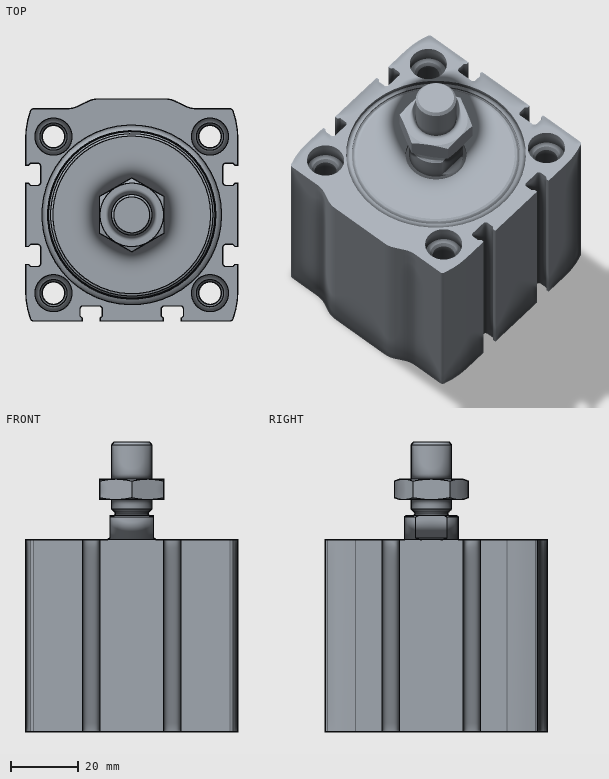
import cadquery as cq
import math

BODY_WIDTH = 63.0
HALF = BODY_WIDTH / 2
PAD_RISE = 2.9
PAD_TOP_HALF = 11.4
PAD_FOOT_HALF = 17.5
PAD_BLEND = 7.3
BODY_HEIGHT = 57.0
SIDE_FLAT_HALF = 22.45
SIDE_ARC_RADIUS = 25.0
CORNER_RADIUS = 1.0

SLOT_OFFSET = 12.0
SLOT_MOUTH = 5.25
SLOT_WIDTH = 6.5
SLOT_DEPTH = 4.5
LIP_DEPTH = 0.9
LIP_SLOPE = (SLOT_WIDTH - SLOT_MOUTH) / 2
SLOT_CORNER_RADIUS = 0.9

HOLE_OFFSET = 23.2
HOLE_DIAMETER = 6.6
HOLE_BEVEL_DIAMETER = 8.1
COUNTERBORE_DIAMETER = 11.0
COUNTERBORE_DEPTH = 5.0
HOLE_BEVEL_DEPTH = (HOLE_BEVEL_DIAMETER - HOLE_DIAMETER) / 2

COVER_DEPTH = 0.2
COVER_FACE_RADIUS = 23.4
COVER_BREAK_RADIUS = 24.1
COVER_BREAK_DEPTH = 0.4
COVER_EDGE_RADIUS = 24.7
GROOVE_FLOOR_DEPTH = 1.0
RING_INNER_DIAMETER = 50.0
RING_INNER_RADIUS = RING_INNER_DIAMETER / 2
RING_INNER_DEPTH = 0.4
RING_OUTER_RADIUS = 26.7
RING_OUTER_DEPTH = 1.4

RECESS_DIAMETER = 18.1
RECESS_DEPTH = 1.0
SOCKET_DEPTH = 10.0

TOTAL_HEIGHT = 86.0
ROD_DIAMETER = 16.0
ROD_TOP = 64.15
ROD_CHAMFER = 0.4
THREAD_DIAMETER = 12.0
THREAD_TIP_DIAMETER = 10.7
THREAD_TIP_HEIGHT = 0.9
THREAD_BOTTOM = 66.1
NECK_DIAMETER = 9.8
NECK_FILLET = 0.5
NECK_CONE_HEIGHT = (THREAD_DIAMETER - NECK_DIAMETER) / 2
FLAT_WIDTH = 13.0
FLAT_CLEARANCE = 0.5
FLAT_BOTTOM = BODY_HEIGHT + FLAT_CLEARANCE
RUN_OUT_DEGREES = 35

NUT_ACROSS_FLATS = 19.0
NUT_BOTTOM = 68.9
NUT_HEIGHT = 6.1
NUT_FACE_DIAMETER = 18.8
NUT_BEVEL_HEIGHT = 0.6


def revolved(profile):
    """Full turn about the Z axis of a profile given as (radius, height) points."""
    return cq.Workplane("XZ").polyline(profile).close().revolve(360, (0, 0, 0), (0, 1, 0))


def cylinder(diameter, bottom, height):
    return cq.Workplane("XY").workplane(offset=bottom).circle(diameter / 2).extrude(height)


class UprightEdgesAt(cq.Selector):
    """Selects the vertical edges that stand on the given XY points."""

    TOLERANCE = 0.01

    def __init__(self, points):
        self.points = points

    def stands_on_a_point(self, edge):
        ends = (edge.startPoint(), edge.endPoint())
        return any(
            all(math.dist((end.x, end.y), point) < self.TOLERANCE for end in ends)
            for point in self.points
        )

    def filter(self, edges):
        return [edge for edge in edges if self.stands_on_a_point(edge)]


def housing_block():
    """Solid block: pad on +Y, sides curving in towards rounded corners."""
    arc_end_angle = math.asin((HALF - SIDE_FLAT_HALF) / SIDE_ARC_RADIUS)

    def arc_point(angle):
        """Point on the curved side near the +X +Y corner."""
        inset = SIDE_ARC_RADIUS * (1 - math.cos(angle))
        return HALF - inset, SIDE_FLAT_HALF + SIDE_ARC_RADIUS * math.sin(angle)

    mid_x, mid_y = arc_point(arc_end_angle / 2)
    end_x, end_y = arc_point(arc_end_angle)
    block = (
        cq.Workplane("XY")
        .moveTo(HALF, -SIDE_FLAT_HALF)
        .lineTo(HALF, SIDE_FLAT_HALF)
        .threePointArc((mid_x, mid_y), (end_x, end_y))
        .lineTo(PAD_FOOT_HALF, HALF)
        .lineTo(PAD_TOP_HALF, HALF + PAD_RISE)
        .lineTo(-PAD_TOP_HALF, HALF + PAD_RISE)
        .lineTo(-PAD_FOOT_HALF, HALF)
        .lineTo(-end_x, end_y)
        .threePointArc((-mid_x, mid_y), (-HALF, SIDE_FLAT_HALF))
        .lineTo(-HALF, -SIDE_FLAT_HALF)
        .threePointArc((-mid_x, -mid_y), (-end_x, -end_y))
        .lineTo(end_x, -end_y)
        .threePointArc((mid_x, -mid_y), (HALF, -SIDE_FLAT_HALF))
        .close()
        .extrude(BODY_HEIGHT)
    )
    corners = [(sx * end_x, sy * end_y) for sx in (-1, 1) for sy in (-1, 1)]
    pad_points = [
        (side * x, y)
        for side in (-1, 1)
        for x, y in ((PAD_TOP_HALF, HALF + PAD_RISE), (PAD_FOOT_HALF, HALF))
    ]
    block = block.edges(UprightEdgesAt(corners)).fillet(CORNER_RADIUS)
    return block.edges(UprightEdgesAt(pad_points)).fillet(PAD_BLEND)


def sensor_slot():
    """Cutter for one slot that opens at the -Y side, at X = 0."""
    mouth = SLOT_MOUTH / 2
    wide = SLOT_WIDTH / 2
    face = -HALF
    floor = face + SLOT_DEPTH
    lip = face + LIP_DEPTH
    return (
        cq.Workplane("XY")
        .polyline([
            (-mouth, face),
            (-mouth, lip),
            (-wide, lip + LIP_SLOPE),
            (-wide, floor),
            (wide, floor),
            (wide, lip + LIP_SLOPE),
            (mouth, lip),
            (mouth, face),
        ])
        .close()
        .extrude(BODY_HEIGHT)
        .edges("|Z and >Y")
        .fillet(SLOT_CORNER_RADIUS)
    )


def screw_hole():
    """Cutter for one counterbored and bevelled through hole on the Z axis."""
    bore = HOLE_DIAMETER / 2
    bevel = HOLE_BEVEL_DIAMETER / 2
    counterbore = COUNTERBORE_DIAMETER / 2
    seat = BODY_HEIGHT - COUNTERBORE_DEPTH
    return revolved([
        (0, 0),
        (bore, 0),
        (bore, seat - HOLE_BEVEL_DEPTH),
        (bevel, seat),
        (counterbore, seat),
        (counterbore, BODY_HEIGHT),
        (0, BODY_HEIGHT),
    ])


def cover_relief():
    """Cutter that lowers the cover and leaves the groove with its sloping ring around it."""
    top = BODY_HEIGHT
    return revolved([
        (0, top),
        (0, top - COVER_DEPTH),
        (COVER_FACE_RADIUS, top - COVER_DEPTH),
        (COVER_BREAK_RADIUS, top - COVER_BREAK_DEPTH),
        (COVER_EDGE_RADIUS, top - GROOVE_FLOOR_DEPTH),
        (RING_INNER_RADIUS, top - GROOVE_FLOOR_DEPTH),
        (RING_INNER_RADIUS, top - RING_INNER_DEPTH),
        (RING_OUTER_RADIUS, top - RING_OUTER_DEPTH),
        (RING_OUTER_RADIUS, top),
    ])


def rod_recess():
    """Cutter for the groove around the rod: upright outer wall and floor rising to the rod."""
    face = BODY_HEIGHT - COVER_DEPTH
    return revolved([
        (ROD_DIAMETER / 2, face),
        (RECESS_DIAMETER / 2, face - RECESS_DEPTH),
        (RECESS_DIAMETER / 2, face),
    ])


def make_housing():
    body = housing_block()
    slot = sensor_slot()
    for quarter_turn in (-90, 0, 90):
        for side in (-1, 1):
            placed = slot.translate((side * SLOT_OFFSET, 0, 0))
            body = body.cut(placed.rotate((0, 0, 0), (0, 0, 1), quarter_turn))
    hole = screw_hole()
    for side_x in (-1, 1):
        for side_y in (-1, 1):
            body = body.cut(hole.translate((side_x * HOLE_OFFSET, side_y * HOLE_OFFSET, 0)))
    body = body.cut(cover_relief()).cut(rod_recess())
    return body.cut(cylinder(ROD_DIAMETER, BODY_HEIGHT - SOCKET_DEPTH, SOCKET_DEPTH))


def wrench_flat():
    """Cutter for the flat on the +X side, with a sloping run-out at its lower end."""
    flat = FLAT_WIDTH / 2
    outside = ROD_DIAMETER / 2
    run_out_drop = (outside - flat) * math.tan(math.radians(RUN_OUT_DEGREES))
    return (
        cq.Workplane("XZ")
        .polyline([
            (flat, FLAT_BOTTOM),
            (outside, FLAT_BOTTOM - run_out_drop),
            (outside, ROD_TOP),
            (flat, ROD_TOP),
        ])
        .close()
        .extrude(ROD_DIAMETER / 2, both=True)
    )


def make_rod():
    rod = ROD_DIAMETER / 2
    neck = NECK_DIAMETER / 2
    thread = THREAD_DIAMETER / 2
    bottom = BODY_HEIGHT - SOCKET_DEPTH
    body = revolved([
        (0, bottom),
        (rod, bottom),
        (rod, ROD_TOP - ROD_CHAMFER),
        (rod - ROD_CHAMFER, ROD_TOP),
        (neck, ROD_TOP),
        (neck, THREAD_BOTTOM - NECK_CONE_HEIGHT),
        (thread, THREAD_BOTTOM),
        (thread, TOTAL_HEIGHT - THREAD_TIP_HEIGHT),
        (THREAD_TIP_DIAMETER / 2, TOTAL_HEIGHT),
        (0, TOTAL_HEIGHT),
    ])
    neck_ends = cq.selectors.RadiusNthSelector(0)
    body = body.edges("%CIRCLE").edges(neck_ends).fillet(NECK_FILLET)
    flat = wrench_flat()
    return body.cut(flat).cut(flat.mirror("YZ"))


def make_nut():
    """Hexagon nut with corners on the Y axis and bevelled at both ends."""
    corner = NUT_ACROSS_FLATS / math.sqrt(3)
    face = NUT_FACE_DIAMETER / 2
    nut_top = NUT_BOTTOM + NUT_HEIGHT
    hexagon = (
        cq.Workplane("XY")
        .workplane(offset=NUT_BOTTOM)
        .polygon(6, 2 * corner)
        .extrude(NUT_HEIGHT)
        .rotate((0, 0, 0), (0, 0, 1), 90)
    )
    bevelled_blank = revolved([
        (0, NUT_BOTTOM),
        (face, NUT_BOTTOM),
        (corner, NUT_BOTTOM + NUT_BEVEL_HEIGHT),
        (corner, nut_top - NUT_BEVEL_HEIGHT),
        (face, nut_top),
        (0, nut_top),
    ])
    thread_hole = cylinder(THREAD_DIAMETER, NUT_BOTTOM, NUT_HEIGHT)
    return hexagon.intersect(bevelled_blank).cut(thread_hole)


housing = make_housing()
rod = make_rod()
nut = make_nut()

result = cq.Compound.makeCompound([housing.val(), rod.val(), nut.val()])